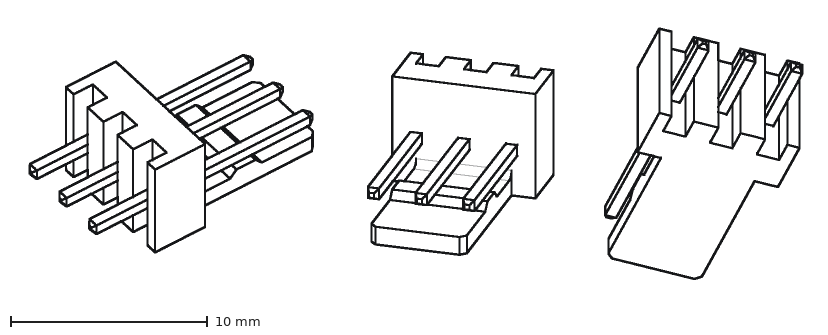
import cadquery as cq


pin_count = 3
pitch = 2.54
pin_width = 0.6
pin_axis_z = 2.54
pin_front_reach = 3.17
pin_back_reach = 7.66
front_tip_length = 0.17
front_tip_width = 0.2
back_tip_length = 0.3
back_tip_width = 0.27

block_width = pin_count * pitch
block_depth = 3.17
block_height = 5.8
slot_width = 1.2
slot_depth = 1.22

tongue_width = (pin_count - 1) * pitch
tongue_length = 8.0
tongue_thickness = 0.99
tongue_corner_chamfer = 0.3
root_fillet = 0.4

ridge_height = 0.42
ridge_slope = 0.4
ridge_start_y = 2.52
ridge_base_length = 2.01

pin_positions = [(i - (pin_count - 1) / 2) * pitch for i in range(pin_count)]


def make_block():
    """Upright block, open at the front with one full-height slot per pin."""
    block = cq.Workplane("XY").box(
        block_width, block_depth, block_height, centered=(True, False, False)
    ).translate((0, -block_depth, 0))
    for x in pin_positions:
        slot = cq.Workplane("XY").box(
            slot_width, slot_depth, block_height, centered=(True, False, False)
        ).translate((x, -block_depth, 0))
        block = block.cut(slot)
    return block


def make_tongue():
    """Flat tongue with a latch ridge, a filleted root and chamfered end corners."""
    ridge_end_y = ridge_start_y + ridge_base_length
    ridge_top = tongue_thickness + ridge_height
    profile = (
        cq.Workplane("YZ")
        .moveTo(0, 0)
        .lineTo(tongue_length, 0)
        .lineTo(tongue_length, tongue_thickness)
        .lineTo(ridge_end_y, tongue_thickness)
        .lineTo(ridge_end_y - ridge_slope, ridge_top)
        .lineTo(ridge_start_y + ridge_slope, ridge_top)
        .lineTo(ridge_start_y, tongue_thickness)
        .lineTo(root_fillet, tongue_thickness)
        .radiusArc((0, tongue_thickness + root_fillet), root_fillet)
        .close()
    )
    tongue = profile.extrude(tongue_width / 2, both=True)
    return tongue.faces(">Y").edges("|Z").chamfer(tongue_corner_chamfer)


def make_tip(base_width, tip_width, length):
    """Square pyramid frustum standing on Z = 0."""
    return (
        cq.Workplane("XY")
        .rect(base_width, base_width)
        .workplane(offset=length)
        .rect(tip_width, tip_width)
        .loft(ruled=True)
    )


def make_pin(x):
    """Straight square pin through the block, tapered at both ends."""
    shank_front_y = -block_depth - pin_front_reach + front_tip_length
    shank_back_y = pin_back_reach - back_tip_length
    shank = cq.Workplane("XY").box(
        pin_width, shank_back_y - shank_front_y, pin_width, centered=(True, False, True)
    ).translate((0, shank_front_y, 0))
    front_tip = (
        make_tip(pin_width, front_tip_width, front_tip_length)
        .rotate((0, 0, 0), (1, 0, 0), 90)
        .translate((0, shank_front_y, 0))
    )
    back_tip = (
        make_tip(pin_width, back_tip_width, back_tip_length)
        .rotate((0, 0, 0), (1, 0, 0), -90)
        .translate((0, shank_back_y, 0))
    )
    return shank.union(front_tip).union(back_tip).translate((x, 0, pin_axis_z))


pins = [make_pin(x) for x in pin_positions]

housing = make_block().union(make_tongue())
for pin in pins:
    housing = housing.cut(pin)

result = cq.Compound.makeCompound([housing.solids().val(), *[pin.solids().val() for pin in pins]])